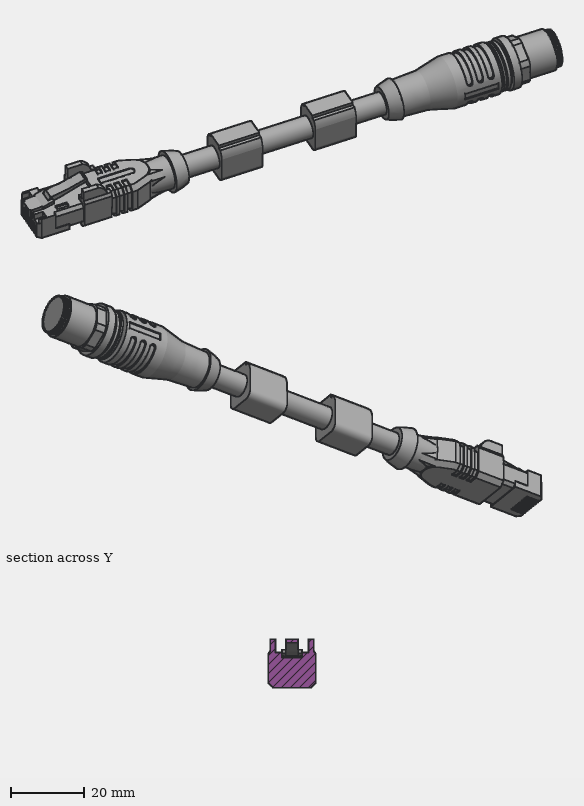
import cadquery as cq
import math

LENGTH = 159.5
CABLE_RADIUS = 6.5 / 2
OVERLAP = 0.8

RELIEF_RIM_RADIUS = 12.0 / 2
RELIEF_MID_RADIUS = 11.0 / 2
RELIEF_END_RADIUS = 9.4 / 2


def box(x_range, y_range, z_range):
    """Axis-aligned box given by its limits."""
    size = [high - low for low, high in (x_range, y_range, z_range)]
    low_corner = (x_range[0], y_range[0], z_range[0])
    return cq.Workplane("XY").box(*size, centered=False).translate(low_corner)


def mirrored_pair(shape):
    """The shape together with its mirror image across X = 0."""
    return shape.union(shape.mirror("YZ"))


def cylinder(radius, y_start, y_end):
    """Cylinder on the cable axis."""
    return cq.Workplane("XZ", origin=(0, y_start, 0)).circle(radius).extrude(y_start - y_end)


def turned(sections):
    """Body of revolution on the cable axis from (radius, y) corners."""
    corners = [(0, sections[0][1]), *sections, (0, sections[-1][1])]
    return cq.Workplane("XY").polyline(corners).close().revolve(360, (0, 0, 0), (0, 1, 0))


def side_profile(half_width):
    """Workplane for a (y, z) outline that is extruded from -half_width to +half_width."""
    return cq.Workplane("YZ", origin=(-half_width, 0, 0))


def strain_relief(y_rim, y_cable):
    """Bulged collar that narrows from its rim towards the cable."""
    middle = (RELIEF_MID_RADIUS, (y_rim + y_cable) / 2)
    return (
        cq.Workplane("XY")
        .moveTo(0, y_rim)
        .lineTo(RELIEF_RIM_RADIUS, y_rim)
        .threePointArc(middle, (RELIEF_END_RADIUS, y_cable))
        .lineTo(0, y_cable)
        .close()
        .revolve(360, (0, 0, 0), (0, 1, 0))
    )


KNOB_RADIUS = 7.5
SLEEVE_RADIUS = 12.0 / 2
TIP_RADIUS = 10.7 / 2
RIDGE_RADIUS = 7.0
RIDGE_ROOT_RADIUS = 6.2
NECK_RADIUS = 5.0
BOOT_START_RADIUS = 11.3 / 2
BOOT_END_RADIUS = 5.3

TIP_START = LENGTH - 1.9
SLEEVE_END = LENGTH - 10.2
COLLAR_START = LENGTH - 13.2
COLLAR_END = LENGTH - 15.6
RIDGES = [(LENGTH - 16.3, LENGTH - 17.2), (LENGTH - 17.7, LENGTH - 18.3)]
NECK_START = LENGTH - 18.8
KNOB_START = LENGTH - 19.3
KNOB_END = LENGTH - 32.7
BOOT_START = LENGTH - 40.0
BOOT_RIM = LENGTH - 48.2
BOOT_TAIL = LENGTH - 52.2

SERRATIONS = 32
SERRATION_WIDTH = 0.5
SERRATION_DEPTH = 0.3
SERRATION_LENGTH = 1.5

HEX_RADIUS = 13.5 / 2
HEX_ACROSS_FLATS = 12.6

GRIP_CENTERS = [LENGTH - 22.2, LENGTH - 25.4, LENGTH - 28.5]
GRIP_WIDTH = 1.8
GRIP_DEPTH = 0.56
GRIP_LOW_Z = 2.9
SIDE_SLOT = (LENGTH - 30.5, LENGTH - 20.3)
SIDE_SLOT_HEIGHT = 2.0
SIDE_SLOT_DEPTH = 0.5


def connector_body():
    profile = [(TIP_RADIUS, LENGTH), (TIP_RADIUS, TIP_START), (SLEEVE_RADIUS, TIP_START)]
    profile += [(SLEEVE_RADIUS, COLLAR_START), (KNOB_RADIUS, COLLAR_START)]
    profile += [(KNOB_RADIUS, COLLAR_END), (RIDGE_ROOT_RADIUS, COLLAR_END)]
    for start, end in RIDGES:
        profile += [(RIDGE_ROOT_RADIUS, start), (RIDGE_RADIUS, start)]
        profile += [(RIDGE_RADIUS, end), (RIDGE_ROOT_RADIUS, end)]
    profile += [(NECK_RADIUS, NECK_START), (NECK_RADIUS, KNOB_START)]
    profile += [(KNOB_RADIUS, KNOB_START), (KNOB_RADIUS, KNOB_END)]
    profile += [(BOOT_START_RADIUS, BOOT_START), (BOOT_END_RADIUS, BOOT_RIM)]
    return turned(profile)


def wrench_hexagon():
    """Hexagon with rounded corners; two of its flats face -X and +X."""
    hexagon = (
        cq.Workplane("XZ", origin=(0, COLLAR_START, 0))
        .polygon(6, HEX_ACROSS_FLATS, circumscribed=True)
        .extrude(COLLAR_START - SLEEVE_END)
    )
    return hexagon.intersect(cylinder(HEX_RADIUS, COLLAR_START, SLEEVE_END))


def tip_serrations():
    notch = box(
        (-SERRATION_WIDTH / 2, SERRATION_WIDTH / 2),
        (LENGTH - SERRATION_LENGTH, LENGTH),
        (TIP_RADIUS - SERRATION_DEPTH, TIP_RADIUS + SERRATION_DEPTH),
    )
    cutter = cq.Workplane("XY")
    for index in range(SERRATIONS):
        cutter = cutter.add(notch.rotate((0, 0, 0), (0, 1, 0), index * 360 / SERRATIONS).val())
    return cutter.combine()


def grip_grooves():
    """Round-ended finger grooves across the top and the bottom of the knob."""
    floor = cylinder(KNOB_RADIUS - GRIP_DEPTH, KNOB_END, KNOB_START)
    straight_length = KNOB_RADIUS - GRIP_LOW_Z
    cutter = cq.Workplane("XY")
    for y_center in GRIP_CENTERS:
        for side in (-1, 1):
            z_center = side * (GRIP_LOW_Z + GRIP_WIDTH / 2 + straight_length / 2)
            groove = (
                side_profile(KNOB_RADIUS)
                .center(y_center, z_center)
                .slot2D(straight_length + GRIP_WIDTH, GRIP_WIDTH, 90)
                .extrude(2 * KNOB_RADIUS)
            )
            cutter = cutter.add(groove.cut(floor).val())
    return cutter.combine()


def side_slots():
    slot = box(
        (KNOB_RADIUS - SIDE_SLOT_DEPTH, KNOB_RADIUS),
        SIDE_SLOT,
        (-SIDE_SLOT_HEIGHT / 2, SIDE_SLOT_HEIGHT / 2),
    )
    return mirrored_pair(slot)


connector = connector_body().union(wrench_hexagon()).union(strain_relief(BOOT_RIM, BOOT_TAIL))
connector = connector.cut(tip_serrations()).cut(grip_grooves()).cut(side_slots())

CLIP_LENGTH = 12.3
CLIP_STARTS = [57.0, 85.2]
CLIP_HALF_WIDTH = 9.4 / 2
CLIP_BOTTOM = -5.9
CLIP_SIDE_BOTTOM = -3.8
CLIP_SIDE_TOP = 2.9
CLIP_LEDGE_HALF_WIDTH = 3.7
CLIP_LEDGE_Z = 5.5
CLIP_LID_HALF_WIDTH = 5.3 / 2
CLIP_TOP = 6.4
CLIP_SHOULDER_MIDDLE = (4.3, 4.3)


def cable_clip(y_start):
    """Clip with a round-cornered body and a narrower lid on top."""
    corner_radius = CLIP_SIDE_BOTTOM - CLIP_BOTTOM
    diagonal = corner_radius * math.sqrt(0.5)
    half = (
        cq.Workplane("XZ", origin=(0, y_start, 0))
        .moveTo(0, CLIP_BOTTOM)
        .lineTo(CLIP_HALF_WIDTH - corner_radius, CLIP_BOTTOM)
        .threePointArc(
            (CLIP_HALF_WIDTH - corner_radius + diagonal, CLIP_SIDE_BOTTOM - diagonal),
            (CLIP_HALF_WIDTH, CLIP_SIDE_BOTTOM),
        )
        .lineTo(CLIP_HALF_WIDTH, CLIP_SIDE_TOP)
        .threePointArc(CLIP_SHOULDER_MIDDLE, (CLIP_LEDGE_HALF_WIDTH, CLIP_LEDGE_Z))
        .lineTo(CLIP_LID_HALF_WIDTH, CLIP_LEDGE_Z)
        .lineTo(CLIP_LID_HALF_WIDTH, CLIP_TOP)
        .lineTo(0, CLIP_TOP)
        .close()
        .extrude(-CLIP_LENGTH)
    )
    return mirrored_pair(half)


BODY_FRONT = 14.7
BODY_HALF_WIDTH = 6.5
BODY_HALF_HEIGHT = 9.7 / 2
BODY_CHAMFER = 1.5
BODY_STRAIGHT_END = 30.6
ARCH_TAPER = 0.37
ARCH_RADIUS = 5.5
BLOCK_BACK = 23.0
BLOCK_SIDE_TOP = 4.3
BLOCK_TOP = 5.3
WEDGE_FRONT = 34.3
WEDGE_FRONT_WIDTH = 9.7
WEDGE_BACK = 40.2
WEDGE_BACK_WIDTH = 8.0
TAIL_RADIUS = 4.8
TAIL_FRONT = 33.5
TAIL_RIM = 42.7
TAIL_END = 47.0

WING_INNER = 4.5
WING_OUTER = 12.0 / 2
WING_TOP = 8.5
WING_BACK_BASE = 21.9
WING_BACK_TOP = 19.1
WING_BACK_MIDDLE = (20.9, 7.2)

RIB_GROOVE_CENTERS = [23.6, 26.0, 28.4]
RIB_GROOVE_WIDTH = 1.5
RIB_GROOVE_DEPTH = 0.5
RIB_GROOVE_INNER = 5.3 / 2

TOP_SLOT_WIDTH = 2.0
TOP_SLOT = (22.2, 32.7)
TOP_SLOT_DEPTH = 0.3

LATCH_NOTCH_HALF_WIDTH = 5.6 / 2
LATCH_NOTCH_BACK = 19.1


def arched_prism():
    """Boot body with bevelled edges whose rear end narrows to a round arch."""
    outline = [
        (-BODY_HALF_WIDTH, BODY_FRONT),
        (BODY_HALF_WIDTH, BODY_FRONT),
        (BODY_HALF_WIDTH, BODY_STRAIGHT_END),
        (0, BODY_STRAIGHT_END + BODY_HALF_WIDTH / ARCH_TAPER),
        (-BODY_HALF_WIDTH, BODY_STRAIGHT_END),
    ]
    return (
        cq.Workplane("XY", origin=(0, 0, -BODY_HALF_HEIGHT))
        .polyline(outline)
        .close()
        .extrude(2 * BODY_HALF_HEIGHT)
        .edges("|Z and >Y")
        .fillet(ARCH_RADIUS)
        .faces("<Z or >Z")
        .edges("not(<Y)")
        .chamfer(BODY_CHAMFER)
    )


def corner_wedge():
    """Tapered square whose bevelled corners run out in the round tail."""
    length = WEDGE_BACK - WEDGE_FRONT
    octagons = []
    for width in (WEDGE_FRONT_WIDTH, WEDGE_BACK_WIDTH):
        half = width / 2
        flat = half - BODY_CHAMFER
        right_side = [(flat, -half), (half, -flat), (half, flat), (flat, half)]
        left_side = [(-x, z) for x, z in reversed(right_side)]
        octagons.append(right_side + left_side)
    return (
        cq.Workplane("XZ", origin=(0, WEDGE_FRONT, 0))
        .polyline(octagons[0])
        .close()
        .workplane(offset=-length)
        .polyline(octagons[1])
        .close()
        .loft(ruled=True)
    )


def front_block():
    """Squarer front end of the boot that carries the wings."""
    right_half = [(0, 0), (BODY_HALF_WIDTH, 0), (BODY_HALF_WIDTH, BLOCK_SIDE_TOP)]
    right_half += [(WING_OUTER, BLOCK_TOP), (WING_INNER, BLOCK_TOP)]
    right_half += [(WING_INNER, BODY_HALF_HEIGHT), (0, BODY_HALF_HEIGHT)]
    half = (
        cq.Workplane("XZ", origin=(0, BODY_FRONT, 0))
        .polyline(right_half)
        .close()
        .extrude(BODY_FRONT - BLOCK_BACK)
    )
    return mirrored_pair(half)


def wings():
    """Upright guards on both sides of the latch, rounded at the back."""
    wing = (
        cq.Workplane("YZ", origin=(WING_INNER, 0, 0))
        .moveTo(BODY_FRONT, 0)
        .lineTo(WING_BACK_BASE, 0)
        .lineTo(WING_BACK_BASE, BLOCK_TOP)
        .threePointArc(WING_BACK_MIDDLE, (WING_BACK_TOP, WING_TOP))
        .lineTo(BODY_FRONT, WING_TOP)
        .close()
        .extrude(WING_OUTER - WING_INNER)
    )
    return mirrored_pair(wing)


def rib_grooves():
    """Grip grooves round both sides of the boot, leaving its middle strip plain."""
    core_half_width = BODY_HALF_WIDTH - RIB_GROOVE_DEPTH
    core_half_height = BODY_HALF_HEIGHT - RIB_GROOVE_DEPTH
    core = box(
        (-core_half_width, core_half_width),
        (BODY_FRONT, BODY_STRAIGHT_END),
        (-core_half_height, core_half_height),
    )
    core = core.edges("|Y").chamfer(BODY_CHAMFER)
    cutter = cq.Workplane("XY")
    for y_center in RIB_GROOVE_CENTERS:
        groove = box(
            (RIB_GROOVE_INNER, BODY_HALF_WIDTH),
            (y_center - RIB_GROOVE_WIDTH / 2, y_center + RIB_GROOVE_WIDTH / 2),
            (-BODY_HALF_HEIGHT, BODY_HALF_HEIGHT),
        )
        cutter = cutter.union(mirrored_pair(groove.cut(core)))
    return cutter


def top_slot():
    """Shallow slot in the top face, square at the front and round at the back."""
    front, back = TOP_SLOT
    radius = TOP_SLOT_WIDTH / 2
    return (
        cq.Workplane("XY", origin=(0, 0, BODY_HALF_HEIGHT - TOP_SLOT_DEPTH))
        .moveTo(-radius, front)
        .lineTo(radius, front)
        .lineTo(radius, back - radius)
        .threePointArc((0, back), (-radius, back - radius))
        .close()
        .extrude(TOP_SLOT_DEPTH)
    )


def latch_notch():
    half_width = LATCH_NOTCH_HALF_WIDTH
    return box((-half_width, half_width), (BODY_FRONT, LATCH_NOTCH_BACK), (HOUSING_TOP, BLOCK_TOP))


HOUSING_HALF_WIDTH = 12.0 / 2
HOUSING_TOP = 3.5
HOUSING_BOTTOM = -3.5
HOUSING_FRONT = 1.0
HOUSING_CHAMFER = 1.0
SHELL_STEP = 0.2
SHELL_BACK = 6.2
SHELL_LOW_BACK = 10.4
SHELL_LOW_TOP = -1.6

HOOK_POCKET_X = (2.7, 4.1)
HOOK_POCKET_Y = (7.5, 11.0)
HOOK_POCKET_DEPTH = 0.6
FRONT_POCKET_X = (3.3, 5.5)
FRONT_POCKET_BACK = 3.5
FRONT_POCKET_DEPTH = 1.9

CONTACTS = 8
CONTACT_PITCH = 1.02
CONTACT_SLOT_WIDTH = 0.56
CONTACT_SLOT_TOP = -0.2
CONTACT_SLOT_DEPTH = 4.0
CONTACT_RECESS = 0.6
CONTACT_BOTTOM = -1.9


def housing():
    """Insulator with chamfered long edges inside a square-edged front shell."""
    core_half_width = HOUSING_HALF_WIDTH - SHELL_STEP
    core = box(
        (-core_half_width, core_half_width),
        (SHELL_BACK - OVERLAP, BODY_FRONT + OVERLAP),
        (HOUSING_BOTTOM + SHELL_STEP, HOUSING_TOP),
    )
    core = core.edges("|Y").chamfer(HOUSING_CHAMFER)
    width = (-HOUSING_HALF_WIDTH, HOUSING_HALF_WIDTH)
    shell = box(width, (HOUSING_FRONT, SHELL_BACK), (HOUSING_BOTTOM, HOUSING_TOP))
    low_shell = box(width, (HOUSING_FRONT, SHELL_LOW_BACK), (HOUSING_BOTTOM, SHELL_LOW_TOP))
    shell = shell.union(low_shell).edges("|Z and <Y").chamfer(HOUSING_CHAMFER)
    return core.union(shell)


def housing_pockets():
    hook = box(HOOK_POCKET_X, HOOK_POCKET_Y, (HOUSING_TOP - HOOK_POCKET_DEPTH, HOUSING_TOP))
    front_y = (HOUSING_FRONT, FRONT_POCKET_BACK)
    front = box(FRONT_POCKET_X, front_y, (HOUSING_TOP - FRONT_POCKET_DEPTH, HOUSING_TOP))
    return mirrored_pair(hook).union(mirrored_pair(front))


def contact_slots():
    """Slots open to the front and bottom, each partly filled by a recessed contact."""
    cutter = cq.Workplane("XY")
    for index in range(CONTACTS):
        x_center = (index - (CONTACTS - 1) / 2) * CONTACT_PITCH
        x_range = (x_center - CONTACT_SLOT_WIDTH / 2, x_center + CONTACT_SLOT_WIDTH / 2)
        back = HOUSING_FRONT + CONTACT_SLOT_DEPTH
        slot = box(x_range, (HOUSING_FRONT, back), (HOUSING_BOTTOM, CONTACT_SLOT_TOP))
        contact_y = (HOUSING_FRONT + CONTACT_RECESS, back)
        slot = slot.cut(box(x_range, contact_y, (CONTACT_BOTTOM, CONTACT_SLOT_TOP)))
        cutter = cutter.union(slot)
    return cutter


LATCH_TOP = 8.8
ARM_HALF_WIDTH = 3.3 / 2
HOOK_HALF_WIDTH = 5.6 / 2
NOSE_HALF_WIDTH = 2.4
NOSE_FRONT = 0.5
NOSE_BACK = 3.8
NOSE_BOTTOM = 1.5
NOSE_TOP = 4.3
NOSE_BACK_TOP = 4.6
LIP_HALF_WIDTH = 1.9
LIP_BACK = 1.6
LIP_NOTCH_HALF_WIDTH = 0.72
LIP_NOTCH_TOP = 3.0

ARM_TOP_EDGE = [(NOSE_BACK, NOSE_BACK_TOP), (5.9, 5.3), (6.7, 6.2), (12.3, 7.3), (17.0, LATCH_TOP)]
ARM_BACK_EDGE = [(17.7, 8.6), (17.7, 8.0)]
ARM_BOTTOM_EDGE = [(14.4, 6.9), (9.3, 5.1), (4.8, 4.0), (NOSE_BACK, 3.2)]
ARM_OUTLINE = ARM_TOP_EDGE + ARM_BACK_EDGE + ARM_BOTTOM_EDGE
HOOK_OUTLINE = [(NOSE_BACK, 3.8), (NOSE_BACK, NOSE_BACK_TOP), (5.9, 5.3), (7.2, 5.6), (7.2, 4.6)]
NOSE_OUTLINE = [
    (NOSE_FRONT, NOSE_BOTTOM),
    (NOSE_FRONT, NOSE_TOP),
    (NOSE_BACK, NOSE_BACK_TOP),
    (NOSE_BACK, 3.2),
    (1.9, NOSE_BOTTOM),
]


def latch_part(outline, half_width):
    return side_profile(half_width).polyline(outline).close().extrude(2 * half_width)


def latch():
    """Springy arm rising backwards from the nose, with a wider locking hook."""
    arm = latch_part(ARM_OUTLINE, ARM_HALF_WIDTH)
    hook = latch_part(HOOK_OUTLINE, HOOK_HALF_WIDTH)
    nose = latch_part(NOSE_OUTLINE, NOSE_HALF_WIDTH)
    lip = box((-LIP_HALF_WIDTH, LIP_HALF_WIDTH), (0, LIP_BACK), (NOSE_BOTTOM, NOSE_TOP))
    notch_x = (-LIP_NOTCH_HALF_WIDTH, LIP_NOTCH_HALF_WIDTH)
    notch = box(notch_x, (0, NOSE_FRONT), (NOSE_BOTTOM, LIP_NOTCH_TOP))
    return nose.union(arm).union(hook).union(lip.cut(notch))


boot = arched_prism().cut(rib_grooves()).union(front_block()).union(wings())
boot = boot.cut(top_slot()).cut(latch_notch())
boot = boot.union(corner_wedge()).union(cylinder(TAIL_RADIUS, TAIL_FRONT, TAIL_RIM))
boot = boot.union(strain_relief(TAIL_RIM, TAIL_END))
plug = boot.union(housing().cut(housing_pockets()).cut(contact_slots())).union(latch())

result = cylinder(CABLE_RADIUS, TAIL_RIM, BOOT_RIM).union(connector).union(plug)
for clip_start in CLIP_STARTS:
    result = result.union(cable_clip(clip_start))